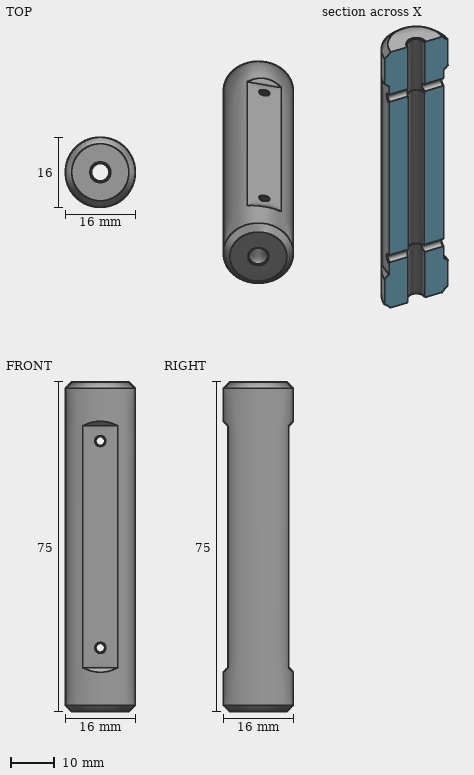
import cadquery as cq

length = 75.0
bar_diameter = 16.0
end_chamfer = 1.5

bore_diameter = 4.0
bore_entry_diameter = 4.2
bore_entry_depth = 15.0
bore_mouth_diameter = 4.7
bore_mouth_chamfer = (bore_mouth_diameter - bore_entry_diameter) / 2

flat_depth = 1.05
flat_length = 55.0
flat_offset = bar_diameter / 2 - flat_depth

cross_hole_diameter = 2.0
cross_hole_mouth_diameter = 2.5
cross_hole_spacing = 47.0
cross_hole_shift = 0.5
cross_hole_chamfer = (cross_hole_mouth_diameter - cross_hole_diameter) / 2


def make_bar():
    bar = cq.Workplane("XY").workplane(offset=-length / 2).circle(bar_diameter / 2).extrude(length)
    return bar.faces("|Z").chamfer(end_chamfer)


def make_bore():
    """Bore along Z with a wider entry and a countersunk mouth at both ends."""
    half = length / 2
    bore_radius = bore_diameter / 2
    entry_radius = bore_entry_diameter / 2
    mouth_radius = bore_mouth_diameter / 2
    profile = [
        (0, -half),
        (mouth_radius, -half),
        (entry_radius, -half + bore_mouth_chamfer),
        (entry_radius, -half + bore_entry_depth),
        (bore_radius, -half + bore_entry_depth),
        (bore_radius, half - bore_entry_depth),
        (entry_radius, half - bore_entry_depth),
        (entry_radius, half - bore_mouth_chamfer),
        (mouth_radius, half),
        (0, half),
    ]
    return cq.Workplane("XZ").polyline(profile).close().revolve(360, (0, 0, 0), (0, 1, 0))


def make_flat_cutter(side):
    """Trapezoid in YZ swept across the bar; side is -1 or +1 along Y."""
    inner_half = flat_length / 2
    outer_half = inner_half + flat_depth
    floor_y = side * flat_offset
    surface_y = side * bar_diameter / 2
    profile = [
        (floor_y, -inner_half),
        (surface_y, -outer_half),
        (surface_y, outer_half),
        (floor_y, inner_half),
    ]
    return cq.Workplane("YZ").polyline(profile).close().extrude(bar_diameter / 2, both=True)


def make_cross_hole(height):
    """Hole along Y from flat to flat, widening to the mouth diameter at both flats."""
    hole_radius = cross_hole_diameter / 2
    mouth_radius = cross_hole_mouth_diameter / 2
    profile = [
        (0, -flat_offset),
        (mouth_radius, -flat_offset),
        (hole_radius, -flat_offset + cross_hole_chamfer),
        (hole_radius, flat_offset - cross_hole_chamfer),
        (mouth_radius, flat_offset),
        (0, flat_offset),
    ]
    hole = cq.Workplane("XY").polyline(profile).close().revolve(360, (0, 0, 0), (0, 1, 0))
    return hole.translate((0, 0, height))


result = make_bar().cut(make_bore())
for side in (-1, 1):
    result = result.cut(make_flat_cutter(side))
    result = result.cut(make_cross_hole(cross_hole_shift + side * cross_hole_spacing / 2))